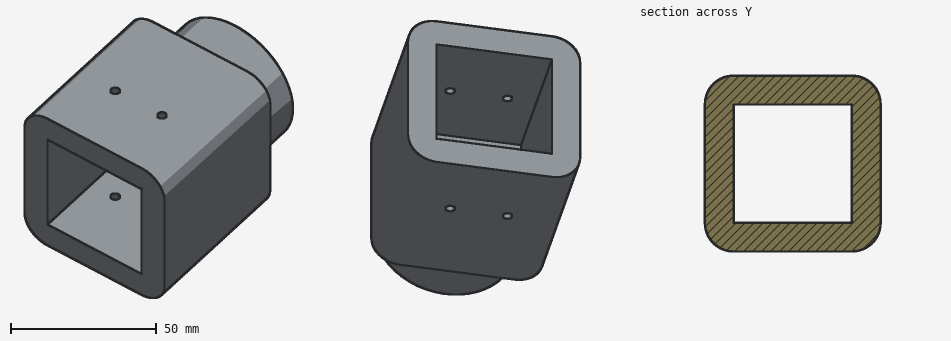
import cadquery as cq

total_length = 79.8
body_width = 60.4
body_length = 60.0
corner_radius = 10.0

socket_width = 40.45
wall = (body_width - socket_width) / 2
socket_depth = body_length - wall

spigot_diameter = 50.0
spigot_length = total_length - body_length

hole_diameter = 3.2
hole_spacing = 20.1
hole_y = socket_depth / 2


def along_y(start_y):
    """Workplane at start_y facing -Y, so negative extrusions run toward +Y."""
    return cq.Workplane("XZ", origin=(0, start_y, 0))


body = along_y(0).rect(body_width, body_width).extrude(-body_length)
body = body.edges("|Y").fillet(corner_radius)

spigot = along_y(body_length).circle(spigot_diameter / 2).extrude(-spigot_length)

socket = along_y(0).rect(socket_width, socket_width).extrude(-socket_depth)

holes = (
    cq.Workplane("XY", origin=(0, hole_y, -body_width / 2))
    .pushPoints([(-hole_spacing / 2, 0), (hole_spacing / 2, 0)])
    .circle(hole_diameter / 2)
    .extrude(body_width)
)

result = body.union(spigot).cut(socket).cut(holes)